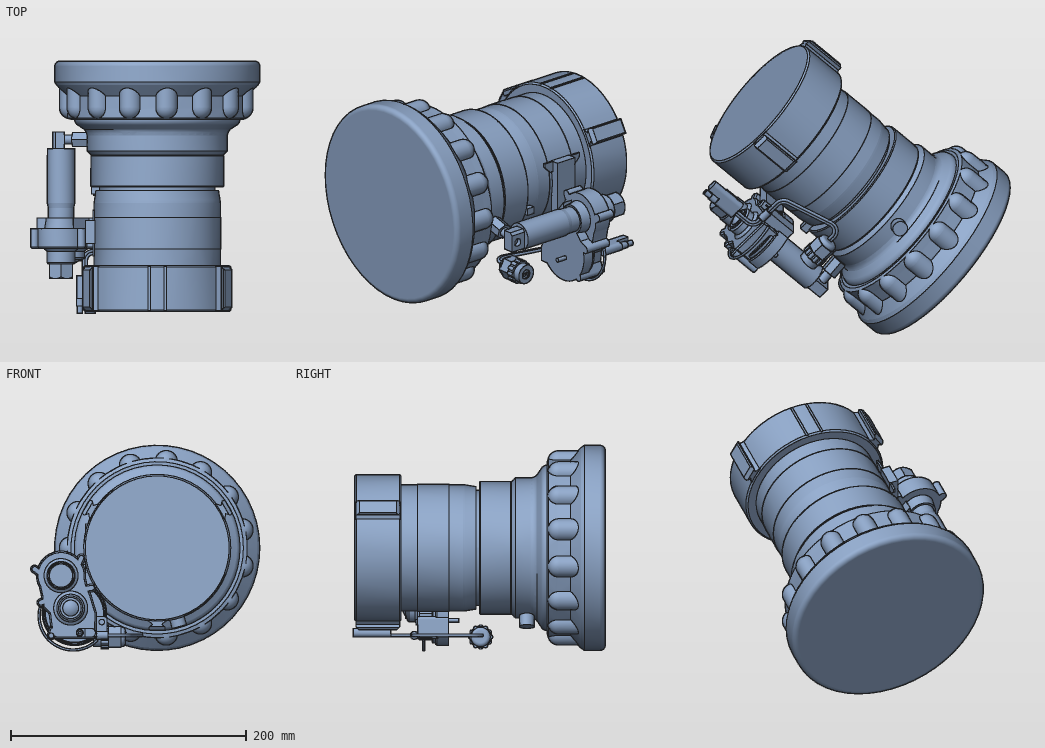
import cadquery as cq
import math


OVERLAP = 1.0

RIM_RADIUS = 87.35
RIM_ROUND = 4.5
RIM_DEPTH = 17.8
RIM_EDGE_RADIUS = 85.6
RIM_EDGE_DEPTH = 20.6
GRIP_RADIUS = 76.5
GRIP_START = 29.5
GRIP_END = 49.5
GRIP_BEVEL_RADIUS = 73.3
GRIP_BEVEL_DEPTH = 1.1
SHOULDER_RADIUS = 70.5
SHOULDER_CONE_RADIUS = 68.1
SHOULDER_CONE_START = 54.2
NECK_RADIUS = 62.1
NECK_START = 58.2
SHOULDER_BULGE = 0.6
NECK_HOLLOW = 0.5
COLLAR_RADIUS = 59.7
COLLAR_START = 63.4
COLLAR_END = 76.5
COLLAR_BEVEL = 3.5
RING_RADIUS = 56.6
RING_END = 107.2
RING_EDGE = 0.9
GAP_RADIUS = 49.2
GAP_END = 110.0
BARREL_RADIUS = 107.75 / 2
TAPER_RADIUS = 52.2
TAPER_END = 119.0
TAPER_END_RADIUS = 53.65
TAPER_BLEND_END = 120.8
BAND_RADIUS = BARREL_RADIUS + 0.35
BAND_START = 132.9
BAND_END = 159.7

KNOB_COUNT = 15
FIRST_KNOB_ANGLE = 180
KNOB_RADIUS = 9.5
KNOB_REACH = 83.2
KNOB_START = RIM_EDGE_DEPTH + OVERLAP / 2
KNOB_BALL_DEPTH = GRIP_END - KNOB_RADIUS - 0.3

CAP_RADIUS = 62.6
CAP_START = 173.8
CAP_END = 213.2
CAP_CHAMFER = 1.4
LUG_ANGLES = (30, 150, 270)
LUG_REACH = 70.0
LUG_HALF_WIDTH = 6.8
LUG_ROOT_HALF_WIDTH = 8.0
LUG_SIDE_BEVEL = 1.0
LUG_NECK_HALF_WIDTH = 4.0
LUG_NECK_RADIUS = 65.0
LUG_HEAD_RADIUS = 67.6
LUG_END_GAP = 1.0
LUG_END_CHAMFER = 3.0
CAP_GROOVE_OFFSET = 6.75
CAP_GROOVE_WIDTH = 1.9
CAP_GROOVE_DEPTH = 0.8

STUD_DIAMETER = 12.7
STUD_DEPTH = 66.7
STUD_REACH = 69.5
STUD_ANGLE = -74.3

MOTOR_X = -81.8
MOTOR_Z = -23.6
MOTOR_RADIUS = 11.75
MOTOR_START = 74.5
MOTOR_END = 121.0
MOTOR_NECK_RADIUS = 10.9
MOTOR_NECK_START = 125.0
MOTOR_TIP_START = 60.3
MOTOR_TIP_SIZE = 17.2
MOTOR_TIP_LEFT = -89.0
MOTOR_TIP_RIGHT = -79.0
MOTOR_TIP_HOLE = 6.66
MOTOR_TIP_HOLE_DEPTH = 4.0
MOTOR_TIP_HOLE_Z = MOTOR_Z - 1.3
MOTOR_TIP_BEVEL = 2.3
LINK_HEX_FLATS = 12.19
LINK_HEX_START = 60.0
LINK_HEX_END = 74.0
LINK_PIN_RADIUS = 4.0

CASE_BACK = 133.4
CASE_MID = 142.5
CASE_FRONT = 159.6
COVER_EDGE = 1.3
EAR_WEB_LENGTH = 8.0
CASE_TOP_RADIUS = 20.9
CASE_BACK_TOP_RADIUS = 14.0
CASE_BACK_TIP_RADIUS = 12.6
CASE_BACK_WEB = (
    (-71.0, -12.0),
    (-58.0, -28.0),
    (-58.0, -38.0),
    (-75.0, -40.0),
)
GEAR_X = -73.6
GEAR_Z = -51.2
DISC_X = -70.4
DISC_Z = -55.6
DISC_RADIUS = 27.5
DISC_BEVEL = 1.0
DISC_FRONT = 144.3
DISC_STEP_RADIUS = 25.5
DISC_STEP_BEVEL = 0.8
DISC_STEP_FRONT = 147.5
CASE_EAR_RADIUS = 3.4
CORNER_SCREW_X = -90.2
CORNER_SCREW_Z = -74.8
CASE_EARS = (
    (-104.3, -18.0, CASE_MID),
    (-98.9, -46.6, CASE_BACK),
    (-55.5, -34.0, CASE_BACK),
    (-64.5, -8.5, CASE_MID),
    (CORNER_SCREW_X, CORNER_SCREW_Z, CASE_BACK),
)
CASE_OUTLINE = (
    (-102.4, -23.6),
    (-98.6, -41.0),
    (-97.4, -50.5),
    (-92.0, -56.0),
    (-89.5, -75.5),
    (-86.0, -77.0),
    (-52.5, -77.0),
    (-51.5, -56.0),
    (-56.3, -40.0),
    (-60.0, -30.5),
    (-64.0, -11.0),
)

DRIVE_COLLAR_RADIUS = 12.0
DRIVE_COLLAR_FLARE = 14.5
DRIVE_COLLAR_FLARE_DEPTH = 2.2
DRIVE_COLLAR_END = 172.5
DRIVE_COLLAR_EDGE = 1.0
DRIVE_HEX_CORNERS = 22.8
DRIVE_HEX_END = 185.0
DRIVE_HEX_CROWN = 1.5
GEAR_BOSS_RADIUS = 11.8
GEAR_BOSS_END = 168.7
GEAR_BOSS_EDGE = 1.5
GEAR_STEP_RADIUS = 9.0
GEAR_STEP_END = 169.9
GEAR_DOME_RADIUS = 6.8
GEAR_DOME_END = 172.6
LOCATING_PIN_DIAMETER = 3.5
LOCATING_PIN_START = 124.5
LOCATING_PIN_Z = -61.7

BRACKET_START = 135.6
BRACKET_END = 155.3
BRACKET_LEFT = -60.8
BRACKET_RIGHT = -53.0
BRACKET_TOP = 20.5
BRACKET_BOTTOM = -37.0
TAB_START = 126.7
TAB_END = 165.8
TAB_LEFT = -54.8
TAB_RIGHT = -53.2
TAB_TOP = 20.3
TAB_BOTTOM = 11.0
TAB_BEVEL = 6.0
STOP_SIZE = 6.0
STOP_LEFT = -56.0
STOP_RIGHT = -46.0
STOP_Z = -18.0

LOOP_X = -71.5
LOOP_Z = -57.9
LOOP_RADIUS = 29.0
LOOP_WIRE_RADIUS = 1.0
LOOP_DEPTH = 154.5
LOOP_START_ANGLE = 165
LOOP_END_ANGLE = 315
CABLE_WIRE_RADIUS = 1.28
CABLE_WIRE_OFFSET = 1.1
CABLE_Z = -74.4
CABLE_BEND = 7.0
CABLE_CROSS_DEPTH = 162.5
CABLE_LEFT = -61.5
CABLE_TURN_X = -32.0
CABLE_TURN_RADIUS = 8.0
CABLE_LEAN = 13.3
CABLE_RUN = 41.0
SLEEVE_LEFT = -51.6
SLEEVE_RIGHT = -41.7
SLEEVE_RADIUS = 3.4
PLUG_DEPTH = 106.1
PLUG_Z = -75.8
PLUG_LEFT = -47.8
PLUG_RING_RIGHT = -41.5
PLUG_RIGHT = -31.0
PLUG_HEX_FLATS = 17.6
PLUG_RADIUS = 9.4
PLUG_RIB_COUNT = 12
PLUG_RIB_RADIUS = 1.9
PLUG_NOSE_RADIUS = 8.3
PLUG_NOSE_LENGTH = 6.5
PLUG_TAIL_LENGTH = 4.0
PLUG_SOCKET_RADIUS = 4.1
PLUG_SOCKET_DEPTH = 1.5
PLUG_PIN_RADIUS = 1.19
PLUG_PIN_OFFSET = 1.8
CONNECTOR_START = 182.5
CONNECTOR_STEP = 202.0
CONNECTOR_END = 214.55
CONNECTOR_Z = -72.2
CONNECTOR_HEIGHT = 7.4
CONNECTOR_ROUND = 3.4
CONNECTOR_LEFT = -68.6
CONNECTOR_RIGHT = -52.6
SHELL_LEFT = -61.4
PIN_BARREL_X = -65.8
PIN_BARREL_RADIUS = 3.0
PIN_STEP = 208.5
PIN_TIP_RADIUS = 2.38
PIN_HOLE_RADIUS = 1.19
EAR_BLOCK_X = -47.2
EAR_BLOCK_SIZE = 9.2
EAR_BLOCK_ROUND = 2.5
EAR_BLOCK_TOP = -58.5
EAR_BLOCK_BOTTOM = -74.0
SCREW_DIAMETER = 4.76
SCREW_HEIGHT = 1.6


def rod(x, z, radius, start, end):
    """Round bar along the lens axis between two depths."""
    plane = cq.Plane(origin=(x, -start, z), xDir=(1, 0, 0), normal=(0, -1, 0))
    return cq.Workplane(plane).circle(radius).extrude(end - start)


def cross_rod(depth, z, radius, left, right):
    """Round bar along X."""
    return cq.Workplane("YZ", origin=(left, -depth, z)).circle(radius).extrude(right - left)


def block(left, right, start, end, bottom, top):
    """Box given by its limits; start and end are depths."""
    size = (right - left, end - start, top - bottom)
    return cq.Workplane("XY").box(*size, centered=False).translate((left, -end, bottom))


def slab(points, start, end):
    """Prism of an X-Z outline between two depths."""
    return cq.Workplane("XZ", origin=(0, -start, 0)).polyline(points).close().extrude(end - start)


def cone(x, z, start_radius, start, end_radius, end):
    """Tapered bar along the lens axis."""
    base = cq.Vector(x, -start, z)
    solid = cq.Solid.makeCone(start_radius, end_radius, end - start, base, cq.Vector(0, -1, 0))
    return cq.Workplane(solid)


def turned(shape, angle):
    """Turn a shape built along +X to the given angle in the X-Z plane."""
    return shape.rotate((0, 0, 0), (0, -1, 0), angle)


def barrel():
    """Solid turned body of the lens with the band around its rear part."""
    half_round = RIM_ROUND * (1 - math.sqrt(0.5))
    rim_arc_middle = (RIM_RADIUS - half_round, -half_round)
    profile = (
        cq.Workplane("XY")
        .moveTo(0, 0)
        .lineTo(RIM_RADIUS - RIM_ROUND, 0)
        .threePointArc(rim_arc_middle, (RIM_RADIUS, -RIM_ROUND))
        .lineTo(RIM_RADIUS, -RIM_DEPTH)
        .lineTo(RIM_EDGE_RADIUS, -RIM_EDGE_DEPTH)
        .lineTo(GRIP_RADIUS, -GRIP_START)
        .lineTo(GRIP_RADIUS, -(GRIP_END - GRIP_BEVEL_DEPTH))
        .lineTo(GRIP_BEVEL_RADIUS, -GRIP_END)
        .lineTo(SHOULDER_RADIUS, -GRIP_END)
        .sagittaArc((SHOULDER_CONE_RADIUS, -SHOULDER_CONE_START), SHOULDER_BULGE)
        .lineTo(NECK_RADIUS, -NECK_START)
        .sagittaArc((COLLAR_RADIUS, -COLLAR_START), -NECK_HOLLOW)
        .lineTo(COLLAR_RADIUS, -COLLAR_END)
        .lineTo(COLLAR_RADIUS - COLLAR_BEVEL, -(COLLAR_END + COLLAR_BEVEL))
        .lineTo(RING_RADIUS, -(COLLAR_END + COLLAR_BEVEL + RING_EDGE))
        .lineTo(RING_RADIUS, -(RING_END - RING_EDGE))
        .lineTo(RING_RADIUS - RING_EDGE, -RING_END)
        .lineTo(GAP_RADIUS, -RING_END)
        .lineTo(GAP_RADIUS, -GAP_END)
        .lineTo(TAPER_RADIUS, -GAP_END)
        .lineTo(TAPER_END_RADIUS, -TAPER_END)
        .lineTo(BARREL_RADIUS, -TAPER_BLEND_END)
        .lineTo(BARREL_RADIUS, -(CAP_START + OVERLAP))
        .lineTo(0, -(CAP_START + OVERLAP))
        .close()
    )
    body = profile.revolve(360, (0, 0, 0), (0, 1, 0))
    return body.union(rod(0, 0, BAND_RADIUS, BAND_START, BAND_END))


def grip_knobs():
    """Ball-ended ribs spaced evenly around the rim grip."""
    center = KNOB_REACH - KNOB_RADIUS
    knob = rod(center, 0, KNOB_RADIUS, KNOB_START, KNOB_BALL_DEPTH)
    ball = cq.Workplane("XY").sphere(KNOB_RADIUS).translate((center, -KNOB_BALL_DEPTH, 0))
    knob = knob.union(ball)
    return [turned(knob, FIRST_KNOB_ANGLE + index * 360 / KNOB_COUNT) for index in range(KNOB_COUNT)]


def cap_lug():
    """Necked lug lying along +X, bevelled at both ends."""
    start = CAP_START + LUG_END_GAP
    end = CAP_END - LUG_END_GAP
    root = CAP_RADIUS - OVERLAP
    half_outline = (
        (root, LUG_ROOT_HALF_WIDTH),
        (LUG_NECK_RADIUS, LUG_NECK_HALF_WIDTH),
        (LUG_HEAD_RADIUS, LUG_HALF_WIDTH),
        (LUG_REACH - LUG_SIDE_BEVEL, LUG_HALF_WIDTH),
        (LUG_REACH, LUG_HALF_WIDTH - LUG_SIDE_BEVEL),
    )
    mirrored = [(r, -w) for r, w in reversed(half_outline)]
    lug = slab([*half_outline, *mirrored], start, end)
    return lug.faces(">X").edges("|Z").chamfer(LUG_END_CHAMFER)


def cap():
    """Rear cap with three lugs and two grooves along its top."""
    body = rod(0, 0, CAP_RADIUS, CAP_START, CAP_END).faces("|Y").edges().chamfer(CAP_CHAMFER)
    for angle in LUG_ANGLES:
        body = body.union(turned(cap_lug(), angle))
    floor = CAP_RADIUS - CAP_GROOVE_DEPTH
    for center in (-CAP_GROOVE_OFFSET, CAP_GROOVE_OFFSET):
        left = center - CAP_GROOVE_WIDTH / 2
        right = center + CAP_GROOVE_WIDTH / 2
        body = body.cut(block(left, right, CAP_START, CAP_END, floor, CAP_RADIUS))
    return body


def stud():
    """Round stud standing out radially from the lens collar."""
    length = STUD_REACH - GAP_RADIUS
    pin = cq.Workplane("YZ", origin=(GAP_RADIUS, -STUD_DEPTH, 0)).circle(STUD_DIAMETER / 2).extrude(length)
    return turned(pin, STUD_ANGLE)


def motor():
    """Motor tube with a necked rear end and a square front tip."""
    body = rod(MOTOR_X, MOTOR_Z, MOTOR_RADIUS, MOTOR_START, MOTOR_END)
    body = body.union(cone(MOTOR_X, MOTOR_Z, MOTOR_RADIUS, MOTOR_END, MOTOR_NECK_RADIUS, MOTOR_NECK_START))
    body = body.union(rod(MOTOR_X, MOTOR_Z, MOTOR_NECK_RADIUS, MOTOR_NECK_START, CASE_BACK + OVERLAP))
    half_height = MOTOR_TIP_SIZE / 2
    bottom = MOTOR_Z - half_height
    top = MOTOR_Z + half_height
    tip = block(MOTOR_TIP_LEFT, MOTOR_TIP_RIGHT, MOTOR_TIP_START, MOTOR_START + OVERLAP, bottom, top)
    tip = tip.faces("<X").edges(">Z").chamfer(MOTOR_TIP_BEVEL)
    hole_end = MOTOR_TIP_LEFT + MOTOR_TIP_HOLE_DEPTH
    hole = cross_rod(STUD_DEPTH, MOTOR_TIP_HOLE_Z, MOTOR_TIP_HOLE / 2, MOTOR_TIP_LEFT, hole_end)
    return body.union(tip.cut(hole))


def motor_link():
    """Hex nut and pin running radially from the collar to the motor tip."""
    corners = LINK_HEX_FLATS / math.cos(math.radians(30))
    plane = cq.Workplane("YZ", origin=(0, -STUD_DEPTH, 0))
    motor_distance = math.hypot(MOTOR_X, MOTOR_Z)
    pin_start = GAP_RADIUS
    pin = plane.workplane(offset=pin_start).circle(LINK_PIN_RADIUS).extrude(motor_distance - pin_start)
    nut = plane.workplane(offset=LINK_HEX_START).transformed(rotate=(0, 0, 30))
    nut = nut.polygon(6, corners).extrude(LINK_HEX_END - LINK_HEX_START)
    angle = math.degrees(math.atan2(MOTOR_Z, MOTOR_X))
    return turned(pin.union(nut), angle)


def drive_case():
    """Gear case: front plate with screw ears, rear boss and rear disc."""
    case = slab(CASE_OUTLINE, CASE_MID, CASE_FRONT)
    case = case.union(rod(MOTOR_X, MOTOR_Z, CASE_TOP_RADIUS, CASE_MID, CASE_FRONT))
    for x, z, start in CASE_EARS:
        case = case.union(rod(x, z, CASE_EAR_RADIUS, start, CASE_FRONT))
        case = case.union(slab(ear_web(x, z), start, CASE_FRONT))
    case = case.faces("<Y").edges().chamfer(COVER_EDGE)
    back = cone(MOTOR_X, MOTOR_Z, CASE_BACK_TIP_RADIUS, CASE_BACK, CASE_BACK_TOP_RADIUS, CASE_MID)
    back = back.union(slab(CASE_BACK_WEB, CASE_BACK, CASE_MID))
    disc = rod(DISC_X, DISC_Z, DISC_RADIUS, CASE_BACK, DISC_FRONT).faces("<Y").edges().chamfer(DISC_BEVEL)
    step = rod(DISC_X, DISC_Z, DISC_STEP_RADIUS, CASE_BACK, DISC_STEP_FRONT)
    step = step.faces("<Y").edges().chamfer(DISC_STEP_BEVEL)
    return case.union(back).union(disc).union(step)


def ear_web(x, z):
    """Strip as wide as an ear that runs from its centre towards the case middle."""
    middle_x = (MOTOR_X + GEAR_X) / 2
    middle_z = (MOTOR_Z + GEAR_Z) / 2
    distance = math.hypot(middle_x - x, middle_z - z)
    along = ((middle_x - x) / distance, (middle_z - z) / distance)
    side = (-along[1] * CASE_EAR_RADIUS, along[0] * CASE_EAR_RADIUS)
    end = (x + along[0] * EAR_WEB_LENGTH, z + along[1] * EAR_WEB_LENGTH)
    return [
        (x + side[0], z + side[1]),
        (end[0] + side[0], end[1] + side[1]),
        (end[0] - side[0], end[1] - side[1]),
        (x - side[0], z - side[1]),
    ]


def drive_bosses():
    """Hex-headed motor boss and domed gear boss on the case front."""
    flare_end = CASE_FRONT + DRIVE_COLLAR_FLARE_DEPTH
    boss = cone(MOTOR_X, MOTOR_Z, DRIVE_COLLAR_FLARE, CASE_FRONT, DRIVE_COLLAR_RADIUS, flare_end)
    collar = rod(MOTOR_X, MOTOR_Z, DRIVE_COLLAR_RADIUS, flare_end, DRIVE_COLLAR_END)
    boss = boss.union(collar.faces("<Y").edges().chamfer(DRIVE_COLLAR_EDGE))
    hex_plane = cq.Plane(origin=(MOTOR_X, -DRIVE_COLLAR_END, MOTOR_Z), xDir=(0, 0, 1), normal=(0, -1, 0))
    hex_head = cq.Workplane(hex_plane).polygon(6, DRIVE_HEX_CORNERS).extrude(DRIVE_HEX_END - DRIVE_COLLAR_END)
    crown = rod(MOTOR_X, MOTOR_Z, DRIVE_HEX_CORNERS / 2, DRIVE_COLLAR_END, DRIVE_HEX_END)
    crown = crown.faces("<Y").edges().chamfer(DRIVE_HEX_CROWN)
    boss = boss.union(hex_head.intersect(crown))

    gear = cone(GEAR_X, GEAR_Z, DRIVE_COLLAR_FLARE, CASE_FRONT, GEAR_BOSS_RADIUS, flare_end)
    gear_body = rod(GEAR_X, GEAR_Z, GEAR_BOSS_RADIUS, flare_end, GEAR_BOSS_END)
    gear = gear.union(gear_body.faces("<Y").edges().chamfer(GEAR_BOSS_EDGE))
    gear = gear.union(rod(GEAR_X, GEAR_Z, GEAR_STEP_RADIUS, GEAR_BOSS_END, GEAR_STEP_END))
    dome_rise = GEAR_DOME_END - GEAR_STEP_END
    ball_radius = (GEAR_DOME_RADIUS ** 2 + dome_rise ** 2) / (2 * dome_rise)
    ball = cq.Workplane("XY").sphere(ball_radius).translate((GEAR_X, ball_radius - GEAR_DOME_END, GEAR_Z))
    dome = ball.intersect(rod(GEAR_X, GEAR_Z, GEAR_DOME_RADIUS, GEAR_BOSS_END, GEAR_DOME_END))
    return boss.union(gear).union(dome)


def locating_pin():
    """Small pin standing out of the back of the case."""
    return rod(GEAR_X, LOCATING_PIN_Z, LOCATING_PIN_DIAMETER / 2, LOCATING_PIN_START, CASE_BACK + OVERLAP)


def bracket():
    """Arm, clip tab and stop that tie the drive case to the barrel."""
    arm = block(BRACKET_LEFT, BRACKET_RIGHT, BRACKET_START, BRACKET_END, BRACKET_BOTTOM, BRACKET_TOP)
    tab = block(TAB_LEFT, TAB_RIGHT, TAB_START, TAB_END, TAB_BOTTOM, TAB_TOP)
    tab = tab.faces("<Z").edges("|X").chamfer(TAB_BEVEL)
    stop = block(STOP_LEFT, STOP_RIGHT, RING_END - OVERLAP, RING_END + STOP_SIZE,
                 STOP_Z - STOP_SIZE / 2, STOP_Z + STOP_SIZE / 2)
    return arm.union(tab).union(stop)


def wire_loop():
    """Thin wire hanging in an arc under the drive case."""
    def point(angle):
        a = math.radians(angle)
        return (LOOP_X + LOOP_RADIUS * math.cos(a), LOOP_Z + LOOP_RADIUS * math.sin(a))

    middle = (LOOP_START_ANGLE + LOOP_END_ANGLE) / 2
    path = cq.Workplane("XZ", origin=(0, -LOOP_DEPTH, 0))
    path = path.moveTo(*point(LOOP_START_ANGLE)).threePointArc(point(middle), point(LOOP_END_ANGLE))
    x, z = point(LOOP_START_ANGLE)
    tangent = math.radians(LOOP_START_ANGLE + 90)
    normal = (math.cos(tangent), 0, math.sin(tangent))
    start = cq.Plane(origin=(x, -LOOP_DEPTH, z), xDir=(0, 1, 0), normal=normal)
    return cq.Workplane(start).circle(LOOP_WIRE_RADIUS).sweep(path)


def arc_step(point, radius, heading_in, heading_out):
    """End of a left-hand arc that turns between two headings, in degrees from +X."""
    a = math.radians(heading_in)
    b = math.radians(heading_out)
    return (point[0] + radius * (math.sin(b) - math.sin(a)), point[1] + radius * (math.cos(a) - math.cos(b)))


def cable():
    """Twin cable from the connector through the sleeve, then forward and round into the plug."""
    heading = 90 - CABLE_LEAN
    start = (CABLE_LEFT, -(CONNECTOR_START + OVERLAP))
    cross = -CABLE_CROSS_DEPTH
    turn_start = (CABLE_TURN_X, cross)
    turn_end = arc_step(turn_start, CABLE_TURN_RADIUS, 0, heading)
    run_x = turn_end[0] + CABLE_RUN * math.cos(math.radians(heading))
    run_y = turn_end[1] + CABLE_RUN * math.sin(math.radians(heading))
    hook_radius = (-PLUG_DEPTH - run_y) / (1 + math.cos(math.radians(heading)))
    hook_end = arc_step((run_x, run_y), hook_radius, heading, 180)
    path = (
        cq.Workplane("XY", origin=(0, 0, CABLE_Z))
        .moveTo(*start)
        .lineTo(CABLE_LEFT, cross - CABLE_BEND)
        .tangentArcPoint((CABLE_LEFT + CABLE_BEND, cross), relative=False)
        .lineTo(*turn_start)
        .tangentArcPoint(turn_end, relative=False)
        .lineTo(run_x, run_y)
        .tangentArcPoint(hook_end, relative=False)
        .lineTo(PLUG_RIGHT, -PLUG_DEPTH)
    )
    half_width = CABLE_WIRE_OFFSET + CABLE_WIRE_RADIUS
    groove = math.sqrt(CABLE_WIRE_RADIUS ** 2 - CABLE_WIRE_OFFSET ** 2)
    section = cq.Plane(origin=(*start, CABLE_Z), xDir=(1, 0, 0), normal=(0, 1, 0))
    run = (
        cq.Workplane(section)
        .moveTo(0, groove)
        .threePointArc((CABLE_WIRE_OFFSET, CABLE_WIRE_RADIUS), (half_width, 0))
        .threePointArc((CABLE_WIRE_OFFSET, -CABLE_WIRE_RADIUS), (0, -groove))
        .threePointArc((-CABLE_WIRE_OFFSET, -CABLE_WIRE_RADIUS), (-half_width, 0))
        .threePointArc((-CABLE_WIRE_OFFSET, CABLE_WIRE_RADIUS), (0, groove))
        .close()
        .sweep(path)
    )
    sleeve = cross_rod(CABLE_CROSS_DEPTH, CABLE_Z, SLEEVE_RADIUS, SLEEVE_LEFT, SLEEVE_RIGHT)
    return run.union(sleeve)


def plug():
    """Ribbed plug ring with a two-pin nose, a hex body and a rounded tail."""
    body = cross_rod(PLUG_DEPTH, PLUG_Z, PLUG_RADIUS, PLUG_LEFT, PLUG_RING_RIGHT)
    corners = PLUG_HEX_FLATS / math.cos(math.radians(30))
    hex_plane = cq.Workplane("YZ", origin=(PLUG_RING_RIGHT, -PLUG_DEPTH, PLUG_Z))
    body = body.union(hex_plane.polygon(6, corners).extrude(PLUG_RIGHT - PLUG_RING_RIGHT))
    for index in range(PLUG_RIB_COUNT):
        angle = 2 * math.pi * index / PLUG_RIB_COUNT
        offset = PLUG_RADIUS - PLUG_RIB_RADIUS / 2
        depth = PLUG_DEPTH + offset * math.cos(angle)
        z = PLUG_Z + offset * math.sin(angle)
        body = body.union(cross_rod(depth, z, PLUG_RIB_RADIUS, PLUG_LEFT, PLUG_RING_RIGHT))
    nose_left = PLUG_LEFT - PLUG_NOSE_LENGTH
    body = body.union(cross_rod(PLUG_DEPTH, PLUG_Z, PLUG_NOSE_RADIUS, nose_left, PLUG_LEFT))
    tail = cross_rod(PLUG_DEPTH, PLUG_Z, PLUG_NOSE_RADIUS, PLUG_RIGHT, PLUG_RIGHT + PLUG_TAIL_LENGTH)
    body = body.union(tail.faces(">X").edges().fillet(PLUG_TAIL_LENGTH - OVERLAP))
    socket_end = nose_left + PLUG_SOCKET_DEPTH
    body = body.cut(cross_rod(PLUG_DEPTH, PLUG_Z, PLUG_SOCKET_RADIUS, nose_left, socket_end))
    for offset in (-PLUG_PIN_OFFSET, PLUG_PIN_OFFSET):
        body = body.union(cross_rod(PLUG_DEPTH + offset, PLUG_Z, PLUG_PIN_RADIUS, nose_left, socket_end))
    return body


def connector():
    """Two-pole connector: one bare pin barrel beside one closed shell."""
    bottom = CONNECTOR_Z - CONNECTOR_HEIGHT / 2
    top = CONNECTOR_Z + CONNECTOR_HEIGHT / 2
    body = block(CONNECTOR_LEFT, CONNECTOR_RIGHT, CONNECTOR_START, CONNECTOR_END, bottom, top)
    body = body.edges("|Y").fillet(CONNECTOR_ROUND)
    body = body.cut(block(CONNECTOR_LEFT, SHELL_LEFT, CONNECTOR_STEP, CONNECTOR_END, bottom, top))
    barrel_pin = rod(PIN_BARREL_X, CONNECTOR_Z, PIN_BARREL_RADIUS, CONNECTOR_STEP, PIN_STEP)
    tip = rod(PIN_BARREL_X, CONNECTOR_Z, PIN_TIP_RADIUS, CONNECTOR_STEP, CONNECTOR_END)
    hole = rod(PIN_BARREL_X, CONNECTOR_Z, PIN_HOLE_RADIUS, PIN_STEP, CONNECTOR_END)
    return body.union(barrel_pin).union(tip.cut(hole))


def corner_screws():
    """Screwed block carrying the cable sleeve, and the screw at the opposite case corner."""
    half = EAR_BLOCK_SIZE / 2
    left = EAR_BLOCK_X - half
    right = EAR_BLOCK_X + half
    lug = block(left, right, CASE_BACK, CASE_FRONT, EAR_BLOCK_BOTTOM, EAR_BLOCK_TOP)
    lug = lug.edges("|Y").edges(">X and >Z").fillet(EAR_BLOCK_ROUND)
    screw_z = EAR_BLOCK_TOP - half
    screw_end = CASE_FRONT + SCREW_HEIGHT
    screw = rod(EAR_BLOCK_X, screw_z, SCREW_DIAMETER / 2, CASE_FRONT, screw_end)
    corner_screw = rod(CORNER_SCREW_X, CORNER_SCREW_Z, SCREW_DIAMETER / 2, CASE_FRONT, screw_end)
    return lug.union(screw).union(corner_screw)


PARTS = (
    *grip_knobs(),
    cap(),
    stud(),
    motor(),
    motor_link(),
    drive_case(),
    drive_bosses(),
    locating_pin(),
    bracket(),
    wire_loop(),
    corner_screws(),
    cable(),
    plug(),
    connector(),
)

result = barrel()
for piece in PARTS:
    result = result.union(piece)